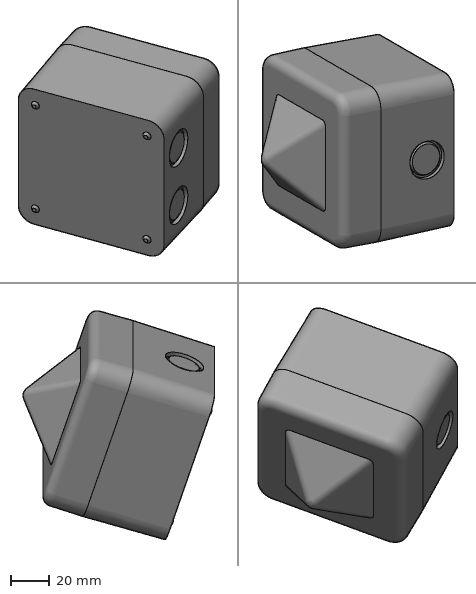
import cadquery as cq
import math

total_depth = 92.7
housing_width = 86.4
corner_radius = 10.0
draft_angle = 1.0
parting_y = 45.0
lid_depth = 23.0
lid_edge_radius = 5.0

screw_spacing = 65.0
head_diameter = 4.6
head_tip_diameter = 2.2
head_height = 1.4

pyramid_edge_radius = 4.6

knockout_y = 16.6
knockout_diameter = 21.0
groove_floor_diameter = 20.6
disc_root_diameter = 18.4
disc_top_diameter = 16.9
groove_depth = 2.3
disc_recess = 1.0
single_knockout_z = 0.0
paired_knockout_z = 18.0

lid_back_y = parting_y + lid_depth
pyramid_height = total_depth - head_height - lid_back_y
apex_loss = pyramid_edge_radius * (math.sqrt(2) - 1)
sharp_height = pyramid_height + apex_loss
knockout_wall_x = housing_width / 2 - (parting_y - knockout_y) * math.tan(math.radians(draft_angle))


def drafted_block(direction, depth):
    """Rounded square block that narrows from the parting plane along +Y (1) or -Y (-1)."""
    plane = cq.Plane(origin=(0, parting_y, 0), xDir=(1, 0, 0), normal=(0, direction, 0))
    outline = cq.Sketch().rect(housing_width, housing_width).vertices().fillet(corner_radius)
    return cq.Workplane(plane).placeSketch(outline).extrude(depth, taper=draft_angle)


def knockout_groove(side, z):
    """Recess to cut from the wall on side +1 (+X) or -1 (-X), square to the drafted wall."""
    groove = [
        (disc_root_diameter / 2, -groove_depth),
        (groove_floor_diameter / 2, -groove_depth),
        (knockout_diameter / 2, 0),
        (0, 0),
        (0, -disc_recess),
        (disc_top_diameter / 2, -disc_recess),
    ]
    tilt = math.radians(draft_angle)
    outward = (side * math.cos(tilt), -math.sin(tilt), 0)
    plane = cq.Plane(origin=(side * knockout_wall_x, knockout_y, z), xDir=(0, 0, 1), normal=outward)
    recess = cq.Workplane("XZ").polyline(groove).close().revolve(360, (0, 0, 0), (0, 1, 0))
    return cq.Workplane(recess.val().moved(plane.location))


def make_base():
    base = drafted_block(-1, parting_y)
    base = base.cut(knockout_groove(-1, single_knockout_z))
    for z in (-paired_knockout_z, paired_knockout_z):
        base = base.cut(knockout_groove(1, z))
    return base


def make_pyramid():
    """Square pyramid on the lid, the common part of two crossed triangular prisms."""
    triangle = [(-sharp_height, 0), (sharp_height, 0), (0, sharp_height)]
    along_z = cq.Workplane("XY").polyline(triangle).close().extrude(sharp_height, both=True)
    along_x = along_z.rotate((0, 0, 0), (0, 1, 0), 90)
    pyramid = along_z.intersect(along_x).edges("not(#Y)").fillet(pyramid_edge_radius)
    return pyramid.translate((0, lid_back_y, 0))


def make_lid():
    lid = drafted_block(1, lid_depth).faces(">Y").edges().fillet(lid_edge_radius)
    return lid.union(make_pyramid())


def make_screw_head(x, z):
    """Conical screw head that rests on the mounting face and points along -Y."""
    profile = [
        (0, 0),
        (head_diameter / 2, 0),
        (head_tip_diameter / 2, -head_height),
        (0, -head_height),
    ]
    head = cq.Workplane("XY").polyline(profile).close().revolve(360, (0, 0, 0), (0, 1, 0))
    return head.translate((x, 0, z))


base = make_base()
lid = make_lid()
screw_heads = []
for x in (-screw_spacing / 2, screw_spacing / 2):
    for z in (-screw_spacing / 2, screw_spacing / 2):
        screw_heads.append(make_screw_head(x, z).val())

result = cq.Compound.makeCompound([base.val(), lid.val(), *screw_heads])